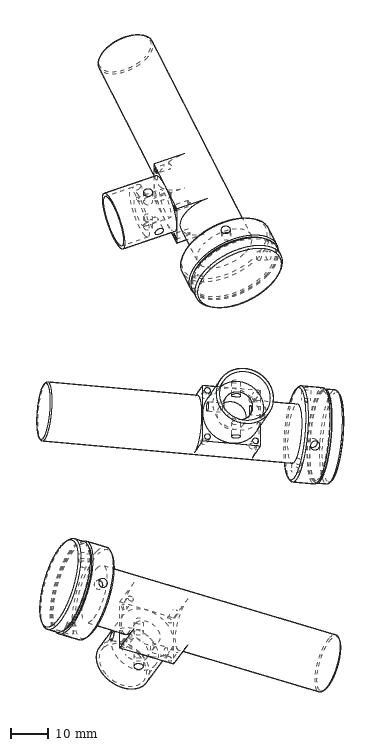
import cadquery as cq
import math

total_length = 80.0
barrel_diameter = 16.0
barrel_chamfer = 0.4

head_start = 69.4
collar_diameter = 26.0
collar_chamfer = 0.6
groove_start = 76.0
groove_end = 76.6
groove_diameter = 24.4
ring_diameter = 25.4
ring_chamfer = 0.6

set_screw_count = 3
set_screw_first_angle = 93.7
set_screw_x = 72.4
set_screw_diameter = 2.5
set_screw_depth = 3.2

branch_x = 49.8
block_size = barrel_diameter
block_face = 9.0
socket_end = 24.0
socket_diameter = 15.8
socket_bore = 14.0
socket_floor = 16.5
cross_hole_distance = 14.0
cross_hole_diameter = 2.5
center_hole_diameter = 8.0
center_hole_end = block_face

corner_spacing = 13.3
corner_hole_diameter = 1.6
corner_hole_depth = 4.0

drill_tip_angle = 118.0


def rod(diameter, start, end):
    """Solid cylinder on the X axis."""
    return cq.Workplane("YZ", origin=(start, 0, 0)).circle(diameter / 2).extrude(end - start)


def branch_rod(diameter, start, end):
    """Solid cylinder on the branch axis, between two distances toward -Y."""
    plane = cq.Workplane("XZ", origin=(branch_x, -start, 0))
    return plane.circle(diameter / 2).extrude(end - start)


def drill(entry, direction, diameter, depth):
    """Blind drilled hole with a conical tip, as a cutting solid."""
    radius = diameter / 2
    tip_length = radius / math.tan(math.radians(drill_tip_angle / 2))
    start = cq.Vector(*entry)
    axis = cq.Vector(*direction)
    shaft = cq.Solid.makeCylinder(radius, depth, start, axis)
    tip = cq.Solid.makeCone(radius, 0, tip_length, start + axis * depth, axis)
    return cq.Workplane(shaft.fuse(tip))


def make_barrel_and_head():
    barrel = rod(barrel_diameter, 0, head_start).faces("<X").chamfer(barrel_chamfer)
    collar = rod(collar_diameter, head_start, groove_start).faces("<X").chamfer(collar_chamfer)
    groove = rod(groove_diameter, groove_start, groove_end)
    ring = rod(ring_diameter, groove_end, total_length).faces(">X").chamfer(ring_chamfer)
    return barrel.union(collar).union(groove).union(ring)


def make_branch():
    block = (
        cq.Workplane("XZ", origin=(branch_x, 0, 0))
        .rect(block_size, block_size)
        .extrude(block_face)
    )
    return block.union(branch_rod(socket_diameter, block_face, socket_end))


def cut_socket(body):
    """Open the socket, deepen its center and pierce its wall along X and Z."""
    body = body.cut(branch_rod(socket_bore, socket_floor, socket_end))
    body = body.cut(branch_rod(center_hole_diameter, center_hole_end, socket_floor))
    center = cq.Vector(branch_x, -cross_hole_distance, 0)
    for axis in (cq.Vector(1, 0, 0), cq.Vector(0, 0, 1)):
        start = center - axis * (socket_diameter / 2)
        hole = cq.Solid.makeCylinder(cross_hole_diameter / 2, socket_diameter, start, axis)
        body = body.cut(cq.Workplane(hole))
    return body


def cut_corner_holes(body):
    offset = corner_spacing / 2
    for x_side in (-1, 1):
        for z_side in (-1, 1):
            entry = (branch_x + x_side * offset, -block_face, z_side * offset)
            body = body.cut(drill(entry, (0, 1, 0), corner_hole_diameter, corner_hole_depth))
    return body


def cut_set_screw_holes(body):
    radius = collar_diameter / 2
    for index in range(set_screw_count):
        angle = math.radians(set_screw_first_angle + index * 360 / set_screw_count)
        y = math.cos(angle)
        z = math.sin(angle)
        entry = (set_screw_x, radius * y, radius * z)
        body = body.cut(drill(entry, (0, -y, -z), set_screw_diameter, set_screw_depth))
    return body


body = make_barrel_and_head().union(make_branch())
body = cut_socket(body)
body = cut_corner_holes(body)
result = cut_set_screw_holes(body)